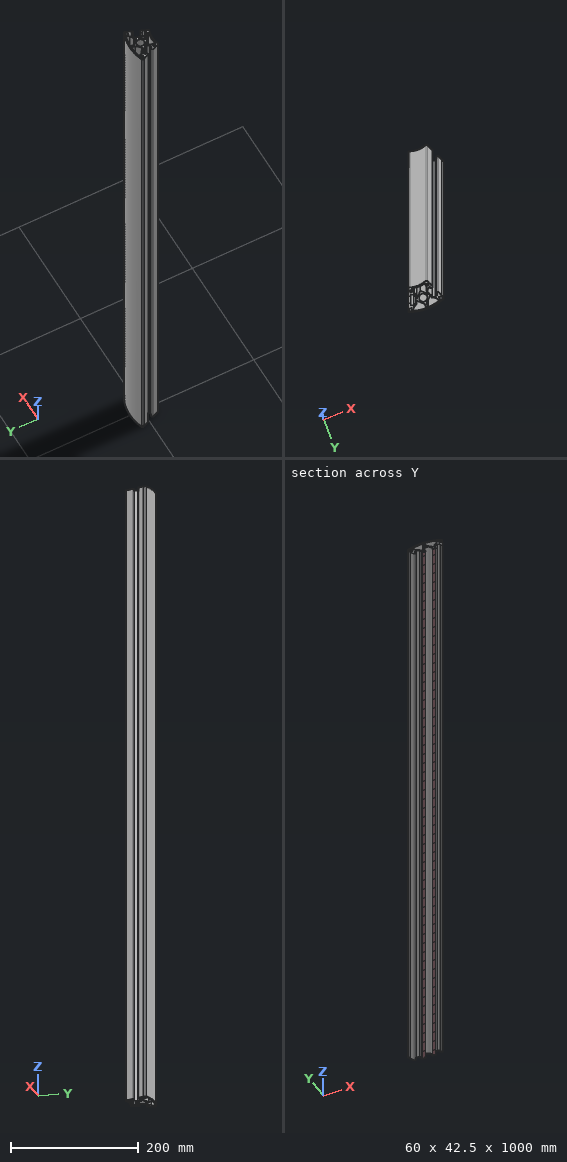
import cadquery as cq
import math

length = 1000.0
outer_radius = 80.0
inner_radius = 40.0
middle_radius = (outer_radius + inner_radius) / 2
corner_radius = 2.0
half_angle = math.radians(22.5)
apex_y = -59.0

slot_half_opening = 5.5
slot_half_width = 8.5
slot_half_floor = 5.0
lip_thickness = 4.0
slot_side_depth = 8.5
slot_depth = 12.0
mouth_radius = 1.0

rim_wall = 2.0
slot_side_wall = 3.0
slot_floor_wall = 1.5
web_width = 3.0
corner_block_width = 9.0
lower_hollow_half_width = 11.0

core_offset = 1.0
core_y = apex_y + middle_radius + core_offset
core_half_diagonal = 12.0
bore_radius = 6.5

upper_hole_size = 4.5
lower_hole_size = 3.0
hole_flank_inset = 4.0
upper_hole_arc_inset = 4.0
lower_hole_arc_inset = 6.0


def flank_point(radius, inward):
    """Point on the +X side: at a radius along the flank, then inward at right angles to it."""
    x = radius * math.sin(half_angle) - inward * math.cos(half_angle)
    y = apex_y + radius * math.cos(half_angle) + inward * math.sin(half_angle)
    return (x, y)


def prism(points):
    return cq.Workplane("XY").polyline(points).close().extrude(length)


def both_sides(solid):
    return solid.union(solid.mirror("YZ"))


def sector(radius_in, radius_out):
    out_x, out_y = flank_point(radius_out, 0)
    in_x, in_y = flank_point(radius_in, 0)
    return (
        cq.Workplane("XY")
        .moveTo(-out_x, out_y)
        .threePointArc((0, apex_y + radius_out), (out_x, out_y))
        .lineTo(in_x, in_y)
        .threePointArc((0, apex_y + radius_in), (-in_x, in_y))
        .close()
        .extrude(length)
    )


def flank_pocket(half_outline):
    """Prism symmetric about the middle of the +X flank, from (offset along, inward) points."""
    other_half = [(-along, inward) for along, inward in reversed(half_outline)]
    outline = half_outline + other_half
    return prism([flank_point(middle_radius + along, inward) for along, inward in outline])


def t_slot():
    return flank_pocket([
        (slot_half_opening, 0),
        (slot_half_opening, lip_thickness),
        (slot_half_width, lip_thickness),
        (slot_half_width, slot_side_depth),
        (slot_half_floor, slot_depth),
    ])


def slot_jacket():
    """The T-slot together with the wall around it."""
    half_width = slot_half_width + slot_side_wall
    shoulder_wall = slot_floor_wall / 2
    return flank_pocket([
        (half_width, 0),
        (half_width, slot_side_depth + shoulder_wall),
        (slot_half_floor + shoulder_wall, slot_depth + slot_floor_wall),
    ])


def round_slot_mouths(body):
    for along in (-slot_half_opening, slot_half_opening):
        x, y = flank_point(middle_radius + along, 0)
        for side in (-1, 1):
            mouth_edge = cq.selectors.NearestToPointSelector((side * x, y, length / 2))
            body = body.edges(mouth_edge).fillet(mouth_radius)
    return body


def core():
    return prism([
        (core_half_diagonal, core_y),
        (0, core_y + core_half_diagonal),
        (-core_half_diagonal, core_y),
        (0, core_y - core_half_diagonal),
    ])


def web():
    """Rib from the core up to the outer arc."""
    return prism([
        (web_width / 2, core_y),
        (web_width / 2, outer_radius),
        (-web_width / 2, outer_radius),
        (-web_width / 2, core_y),
    ])


def upper_corner_block():
    return prism([
        flank_point(outer_radius, 0),
        flank_point(outer_radius, corner_block_width),
        flank_point(middle_radius, corner_block_width),
        flank_point(middle_radius, 0),
    ])


def lower_corner_block():
    return prism([
        (lower_hollow_half_width, core_y),
        (outer_radius, core_y),
        (outer_radius, apex_y),
        (lower_hollow_half_width, apex_y),
    ])


def hollows():
    """Two upper hollows and one lower hollow: the inside of the rim less the inner walls."""
    space = sector(inner_radius + rim_wall, outer_radius - rim_wall).cut(core()).cut(web())
    for block in (slot_jacket(), upper_corner_block(), lower_corner_block()):
        space = space.cut(both_sides(block))
    return space


def square_hole(radius, size):
    x, y = flank_point(radius, hole_flank_inset)
    return cq.Workplane("XY").center(x, y).rect(size, size).extrude(length)


def bore():
    return cq.Workplane("XY").center(0, core_y).circle(bore_radius).extrude(length)


profile = sector(inner_radius, outer_radius).edges("|Z").fillet(corner_radius)
profile = round_slot_mouths(profile.cut(both_sides(t_slot())))
profile = profile.cut(hollows()).cut(bore())
profile = profile.cut(both_sides(square_hole(outer_radius - upper_hole_arc_inset, upper_hole_size)))
profile = profile.cut(both_sides(square_hole(inner_radius + lower_hole_arc_inset, lower_hole_size)))
result = profile